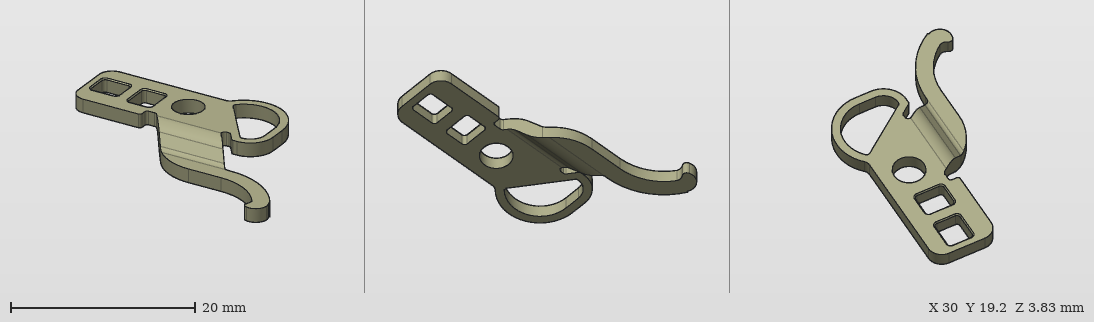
import cadquery as cq
import math

total_height = 3.83
thickness = 1.68
bend_inner_radius = 1.0
bend_outer_radius = bend_inner_radius + thickness
bend_angle = math.radians(45)
step = total_height - thickness
arm_top_y = -3.0
bend_drop = (bend_inner_radius + bend_outer_radius) * (1 - math.cos(bend_angle))
bend_run = (bend_inner_radius + bend_outer_radius) * math.sin(bend_angle)
slope_run = (step - bend_drop) / math.tan(bend_angle)
bend_start_y = arm_top_y + bend_run + slope_run

plate_width = 7.75
plate_corner_radius = 1.65
pivot_diameter = 3.65
pivot_center = (12.4, 4.3)

windows = [(0.75, 2.4, 3.8, 3.35), (5.78, 1.95, 3.25, 3.8)]
window_corner_radius = 0.55
window_chamfer = 0.15

relief_y = 1.17
relief_wall_x = 8.95
relief_radius = 0.3
neck_relief_radius = 0.45
neck_left_x = 10.25
neck_right_x = 18.35
slot_width = 1.02
slot_end_radius = 0.4
neck_lean = 3 / 4
neck_angle = math.atan(1 / neck_lean)
slot_right_x = neck_right_x + slot_width / math.sin(neck_angle)

loop_right_x = 24.1
loop_wall = 1.0
loop_top_radius = 4.88
loop_top_y = 9.52
loop_bottom_radius = 2.85
loop_bottom_y = -0.18
loop_blend_radius = 0.9
loop_top_center = (loop_right_x - loop_top_radius, loop_top_y - loop_top_radius)
loop_bottom_center = (loop_right_x - loop_bottom_radius, loop_bottom_y + loop_bottom_radius)
chord_point = (16.47, 6.98)
opening_top_radius = 0.4
opening_bottom_radius = 0.35

arm_width = 1.95
arm_bottom_y = arm_top_y - arm_width
arm_root_radius = 6.3
arm_inner_radius = 6.98
arm_outer_radius = arm_inner_radius + arm_width
arm_center = (22.13, arm_bottom_y - arm_inner_radius)
arm_inner_end_angle = 35.0
neck_fillet_radius = 0.6
length = 29.95
tip_radius = 1.4
tip_bottom_y = -9.67
tip_center = (length - tip_radius, tip_bottom_y + tip_radius)
hook_hollow_mid = (27.95, -8.4)
hook_hollow_end = (27.75, -8.87)
hook_nose_mid = (27.73, -9.3)
hook_nose_end = (28.15, -9.6)


def on_circle(center, radius, degrees):
    angle = math.radians(degrees)
    return (center[0] + radius * math.cos(angle), center[1] + radius * math.sin(angle))


def neck_side(top_x, y):
    """Point at height y on a sloping side that starts at top_x on the relief line."""
    return (top_x + neck_lean * (relief_y - y), y)


def fillet_corner(body, corner, radius):
    edge = cq.selectors.NearestToPointSelector((corner[0], corner[1], total_height / 2))
    return body.edges("|Z").edges(edge).fillet(radius)


def make_outline():
    """Flat silhouette through the full height."""
    loop_start_y = plate_width - loop_top_center[1]
    loop_start_angle = 180 - math.degrees(math.asin(loop_start_y / loop_top_radius))
    loop_start = on_circle(loop_top_center, loop_top_radius, loop_start_angle)
    slot_lip = neck_side(slot_right_x, loop_bottom_y)
    neck_foot = neck_side(neck_right_x, arm_top_y)
    root_corner = neck_side(neck_left_x, arm_bottom_y)
    tip_angle = math.degrees(math.atan2(tip_center[1] - arm_center[1], tip_center[0] - arm_center[0]))
    arm_inner_end = on_circle(arm_center, arm_inner_radius, arm_inner_end_angle)
    arm_inner_mid = on_circle(arm_center, arm_inner_radius, (90 + arm_inner_end_angle) / 2)

    outline = (
        cq.Workplane("XY")
        .moveTo(0, 0)
        .lineTo(0, plate_width)
        .lineTo(*loop_start)
        .threePointArc(
            on_circle(loop_top_center, loop_top_radius, loop_start_angle / 2),
            on_circle(loop_top_center, loop_top_radius, 0),
        )
        .lineTo(loop_right_x, loop_bottom_center[1])
        .threePointArc(
            on_circle(loop_bottom_center, loop_bottom_radius, -45),
            on_circle(loop_bottom_center, loop_bottom_radius, -90),
        )
        .lineTo(*slot_lip)
        .lineTo(slot_right_x, relief_y)
        .lineTo(neck_right_x, relief_y)
        .lineTo(*neck_foot)
        .lineTo(arm_center[0], arm_top_y)
        .threePointArc(
            on_circle(arm_center, arm_outer_radius, (90 + tip_angle) / 2),
            on_circle(arm_center, arm_outer_radius, tip_angle),
        )
        .lineTo(*on_circle(tip_center, tip_radius, tip_angle))
        .threePointArc(on_circle(tip_center, tip_radius, -30), hook_nose_end)
        .threePointArc(hook_nose_mid, hook_hollow_end)
        .threePointArc(hook_hollow_mid, arm_inner_end)
        .threePointArc(arm_inner_mid, (arm_center[0], arm_bottom_y))
        .lineTo(*root_corner)
        .lineTo(neck_left_x, relief_y)
        .lineTo(relief_wall_x, relief_y)
        .lineTo(relief_wall_x, 0)
        .close()
        .extrude(total_height)
    )
    rounded_corners = [
        ((0, 0), plate_corner_radius),
        ((0, plate_width), plate_corner_radius),
        (loop_start, loop_blend_radius),
        (slot_lip, relief_radius),
        ((slot_right_x, relief_y), relief_radius),
        ((neck_right_x, relief_y), slot_end_radius),
        (neck_foot, neck_fillet_radius),
        (root_corner, arm_root_radius),
        ((neck_left_x, relief_y), neck_relief_radius),
        ((relief_wall_x, relief_y), relief_radius),
        ((relief_wall_x, 0), relief_radius),
    ]
    for corner, radius in rounded_corners:
        outline = fillet_corner(outline, corner, radius)
    return outline


def make_bent_sheet():
    """Sheet with a double bend, extruded along X and larger than the outline in Y."""
    upper_center = (bend_start_y, total_height - bend_outer_radius)
    lower_center = (arm_top_y, thickness + bend_inner_radius)
    bend = math.degrees(bend_angle)

    def upper(radius, degrees):
        return on_circle(upper_center, radius, degrees)

    def lower(radius, degrees):
        return on_circle(lower_center, radius, degrees)

    return (
        cq.Workplane("YZ")
        .moveTo(length, total_height)
        .lineTo(bend_start_y, total_height)
        .threePointArc(upper(bend_outer_radius, 90 + bend / 2), upper(bend_outer_radius, 90 + bend))
        .lineTo(*lower(bend_inner_radius, bend - 90))
        .threePointArc(lower(bend_inner_radius, bend / 2 - 90), lower(bend_inner_radius, -90))
        .lineTo(-length, thickness)
        .lineTo(-length, 0)
        .lineTo(arm_top_y, 0)
        .threePointArc(lower(bend_outer_radius, bend / 2 - 90), lower(bend_outer_radius, bend - 90))
        .lineTo(*upper(bend_inner_radius, 90 + bend))
        .threePointArc(upper(bend_inner_radius, 90 + bend / 2), upper(bend_inner_radius, 90))
        .lineTo(length, step)
        .close()
        .extrude(length)
    )


def flatten_beside_neck(sheet):
    """Keep the plate flat where it reaches past the bend line on either side of the neck."""
    gap_x = (relief_wall_x + neck_left_x) / 2
    slot_middle_x = (neck_right_x + slot_right_x) / 2
    left_side = [(0, relief_y), (gap_x, relief_y), (gap_x, arm_top_y), (0, arm_top_y)]
    right_side = [
        (slot_middle_x, relief_y),
        (length, relief_y),
        (length, arm_top_y),
        neck_side(slot_middle_x, arm_top_y),
    ]
    for side in (left_side, right_side):
        column = cq.Workplane("XY").polyline(side).close().extrude(total_height)
        flat = cq.Workplane("XY", origin=(0, 0, step)).polyline(side).close().extrude(thickness)
        sheet = sheet.cut(column).union(flat)
    return sheet


def make_window(left, bottom, window_length, window_width):
    """Rounded through window with a chamfered upper rim."""
    center = (left + window_length / 2, bottom + window_width / 2)
    opening = (
        cq.Workplane("XY")
        .center(*center)
        .rect(window_length - 2 * window_chamfer, window_width - 2 * window_chamfer)
        .extrude(total_height)
        .edges("|Z")
        .fillet(window_corner_radius - window_chamfer)
    )
    rim_outline = (
        cq.Sketch()
        .rect(window_length, window_width)
        .vertices()
        .fillet(window_corner_radius)
    )
    rim = (
        cq.Workplane("XY", origin=(*center, total_height))
        .placeSketch(rim_outline)
        .extrude(-window_chamfer, taper=45)
    )
    return opening.union(rim)


def make_loop_opening():
    """Opening that leaves a uniform wall and is closed by a straight sloping side."""
    top_radius = loop_top_radius - loop_wall
    bottom_radius = loop_bottom_radius - loop_wall
    along = (neck_lean * math.sin(neck_angle), -math.sin(neck_angle))

    def chord_hit(center, radius, side):
        dx = chord_point[0] - center[0]
        dy = chord_point[1] - center[1]
        half = dx * along[0] + dy * along[1]
        distance = -half + side * math.sqrt(half**2 - dx**2 - dy**2 + radius**2)
        return (chord_point[0] + distance * along[0], chord_point[1] + distance * along[1])

    top_corner = chord_hit(loop_top_center, top_radius, -1)
    bottom_corner = chord_hit(loop_bottom_center, bottom_radius, 1)
    opening = (
        cq.Workplane("XY")
        .moveTo(*top_corner)
        .threePointArc(
            on_circle(loop_top_center, top_radius, 60),
            on_circle(loop_top_center, top_radius, 0),
        )
        .lineTo(*on_circle(loop_bottom_center, bottom_radius, 0))
        .threePointArc(on_circle(loop_bottom_center, bottom_radius, -45), bottom_corner)
        .close()
        .extrude(total_height)
    )
    opening = fillet_corner(opening, top_corner, opening_top_radius)
    return fillet_corner(opening, bottom_corner, opening_bottom_radius)


result = make_outline().intersect(flatten_beside_neck(make_bent_sheet())).clean()
pivot_hole = cq.Workplane("XY").center(*pivot_center).circle(pivot_diameter / 2).extrude(total_height)
result = result.cut(pivot_hole).cut(make_loop_opening())
for window in windows:
    result = result.cut(make_window(*window))